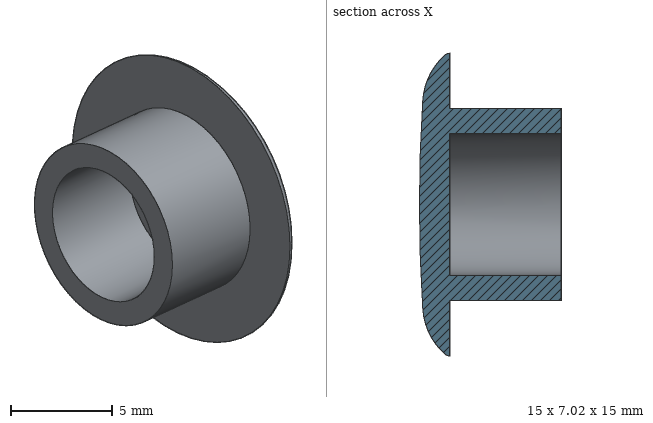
import cadquery as cq
import math

head_diameter = 15.0
head_height = 1.52
tube_diameter = 9.51
bore_diameter = 7.0
tube_length = 5.5

rim_radius = 0.36
rim_turn = math.radians(45)
shoulder_radius = 5.16
crown_drop = 0.16

head_radius = head_diameter / 2
shoulder_height = head_height - crown_drop
crown_radius = (shoulder_radius**2 + crown_drop**2) / (2 * crown_drop)
crown_slope = math.asin(shoulder_radius / crown_radius)


def rim_point(turn):
    """Point on the rim arc after turning inward from the vertical."""
    return (
        head_radius - rim_radius * (1 - math.cos(turn)),
        rim_radius * math.sin(turn),
    )


def shoulder_middle():
    """Midpoint of the shoulder arc that leaves the crown edge tangentially."""
    rim_x, rim_y = rim_point(rim_turn)
    run = rim_x - shoulder_radius
    fall = shoulder_height - rim_y
    chord = math.hypot(run, fall)
    chord_slope = math.atan2(fall, run)
    half_sweep = chord_slope - crown_slope
    bulge = chord / 2 * math.tan(half_sweep / 2)
    return (
        (rim_x + shoulder_radius) / 2 + bulge * math.sin(chord_slope),
        (rim_y + shoulder_height) / 2 + bulge * math.cos(chord_slope),
    )


def crown_middle():
    """Point on the crown arc halfway between its edge and the axis."""
    half_slope = crown_slope / 2
    return (
        crown_radius * math.sin(half_slope),
        head_height - crown_radius * (1 - math.cos(half_slope)),
    )


def make_head():
    """Solid domed head with its flat underside at Y = 0."""
    return (
        cq.Workplane("XY")
        .lineTo(head_radius, 0)
        .threePointArc(rim_point(rim_turn / 2), rim_point(rim_turn))
        .threePointArc(shoulder_middle(), (shoulder_radius, shoulder_height))
        .threePointArc(crown_middle(), (0, head_height))
        .close()
        .revolve(360, (0, 0, 0), (0, 1, 0))
    )


def make_tube():
    """Open tube reaching toward -Y; the head closes its inner end."""
    return (
        cq.Workplane("XZ")
        .circle(tube_diameter / 2)
        .circle(bore_diameter / 2)
        .extrude(tube_length)
    )


result = make_head().union(make_tube())